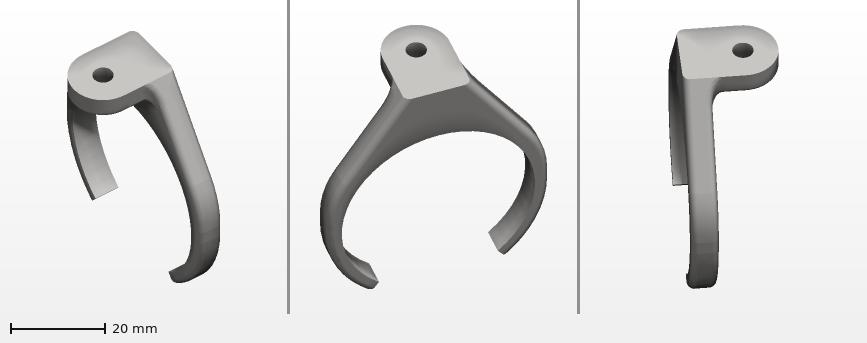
import cadquery as cq
import math

inner_radius = 21.8
outer_radius = 25.0
top_height = 34.8
plate_depth = 6.0
shoulder_height = 9.25
bend_radius = 20.0
tip_angle = 37.9
edge_radius = 1.5

tab_width = 15.1
tab_reach = 21.0
tab_thickness = 5.0
tab_edge_radius = 0.95
cove_radius = 2.5
hole_diameter = 4.5

tab_half = tab_width / 2
tab_underside = top_height - tab_thickness
tab_centre_y = tab_half - tab_reach
cove_end_y = -plate_depth - cove_radius
tolerance = 0.005


def ring_point(radius, angle_from_top):
    """Point at an angle in degrees clockwise from straight up."""
    angle = math.radians(angle_from_top)
    return (radius * math.sin(angle), radius * math.cos(angle))


def mirrored(point):
    return (-point[0], point[1])


flank_lean = math.atan2(outer_radius - tab_half, top_height - shoulder_height)
bend_length = bend_radius * math.tan(flank_lean / 2)
tip_from_top = 180 - tip_angle


def bend_point(turn):
    """Point on the shoulder bend after turning by an angle in radians from upright."""
    return (
        outer_radius - bend_radius * (1 - math.cos(turn)),
        shoulder_height - bend_length + bend_radius * math.sin(turn),
    )


def front_prism():
    """Open ring with tapering shoulders, as deep as the tab is long."""
    tip_inner = ring_point(inner_radius, tip_from_top)
    tip_outer = ring_point(outer_radius, tip_from_top)
    arc_middle = ring_point(outer_radius, (90 + tip_from_top) / 2)
    ring_side = (outer_radius, 0)
    bend_start = (outer_radius, shoulder_height - bend_length)
    bend_middle = bend_point(flank_lean / 2)
    bend_end = bend_point(flank_lean)
    return (
        cq.Workplane("XZ")
        .moveTo(*tip_inner)
        .lineTo(*tip_outer)
        .threePointArc(arc_middle, ring_side)
        .lineTo(*bend_start)
        .threePointArc(bend_middle, bend_end)
        .lineTo(tab_half, top_height)
        .lineTo(-tab_half, top_height)
        .lineTo(*mirrored(bend_end))
        .threePointArc(mirrored(bend_middle), mirrored(bend_start))
        .lineTo(*mirrored(ring_side))
        .threePointArc(mirrored(arc_middle), mirrored(tip_outer))
        .lineTo(*mirrored(tip_inner))
        .threePointArc((0, inner_radius), tip_inner)
        .close()
        .extrude(tab_reach)
    )


def round_tips(prism):
    """Round the two outer tip corners of the ring."""
    tip_x, tip_z = ring_point(outer_radius, tip_from_top)
    for x in (-tip_x, tip_x):
        corner = cq.selectors.NearestToPointSelector((x, -tab_reach / 2, tip_z))
        prism = prism.edges(corner).fillet(edge_radius)
    return prism


def cove_middle(edge, direction):
    """Middle of the cove arc leaving a tab face at the given edge coordinate."""
    sideways = cove_radius * (1 - math.sqrt(0.5))
    return (edge + direction * sideways, -plate_depth - sideways)


def tab_with_coves():
    """Tab whose underside and sides flare into the plate, mitred at the corners."""
    wide = tab_half + cove_radius
    plan = (
        cq.Workplane("XY")
        .moveTo(-wide, 0)
        .lineTo(-wide, -plate_depth)
        .threePointArc(cove_middle(-tab_half, -1), (-tab_half, cove_end_y))
        .lineTo(-tab_half, tab_centre_y)
        .threePointArc((0, -tab_reach), (tab_half, tab_centre_y))
        .lineTo(tab_half, cove_end_y)
        .threePointArc(cove_middle(tab_half, 1), (wide, -plate_depth))
        .lineTo(wide, 0)
        .close()
        .extrude(top_height)
    )
    cove_z, cove_y = cove_middle(tab_underside, -1)
    side = (
        cq.Workplane("YZ")
        .moveTo(0, top_height)
        .lineTo(-tab_reach, top_height)
        .lineTo(-tab_reach, tab_underside)
        .lineTo(cove_end_y, tab_underside)
        .threePointArc((cove_y, cove_z), (-plate_depth, tab_underside - cove_radius))
        .lineTo(0, tab_underside - cove_radius)
        .close()
        .extrude(wide, both=True)
    )
    tab = plan.intersect(side)
    rim = cq.selectors.BoxSelector(
        (-wide, -tab_reach - 0.55, tab_underside - tolerance),
        (wide, cove_end_y + tolerance, tab_underside + tolerance),
    )
    return tab.edges(rim).fillet(tab_edge_radius)


def round_outer_edges(body):
    """Round the front and back edges along the ring's outside and the flanks."""
    edge_x, edge_z = ring_point(outer_radius, (90 + tip_from_top) / 2)
    for x in (-edge_x, edge_x):
        for y in (0, -plate_depth):
            edge = cq.selectors.NearestToPointSelector((x, y, edge_z))
            body = body.edges(edge).fillet(edge_radius)
    return body


slab = cq.Workplane("XY").box(
    2 * outer_radius, plate_depth, 2 * top_height, centered=(True, False, True)
).translate((0, -plate_depth, 0))
prism = front_prism()
body = prism.intersect(slab.union(tab_with_coves()))
body = round_outer_edges(body)
body = body.intersect(round_tips(prism))

hole = (
    cq.Workplane("XY", origin=(0, tab_centre_y, tab_underside))
    .circle(hole_diameter / 2)
    .extrude(tab_thickness)
)
result = body.cut(hole)